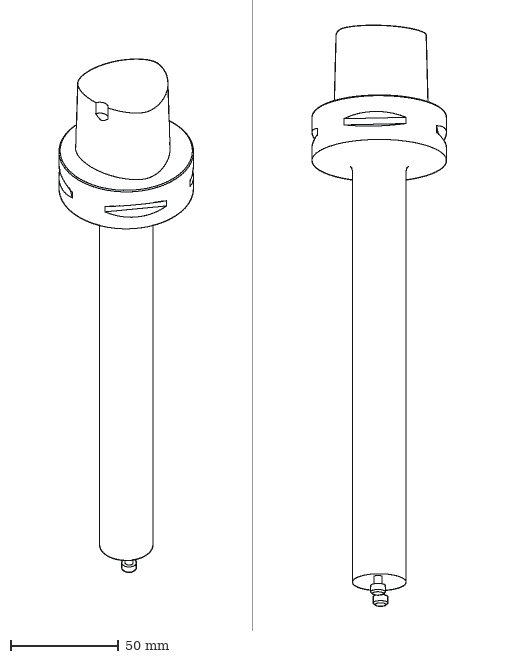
import cadquery as cq
import math

TOTAL_HEIGHT = 276.0
SHANK_HEIGHT = 38.0
FLANGE_HEIGHT = 22.0
FLANGE_TOP = TOTAL_HEIGHT - SHANK_HEIGHT
FLANGE_BOTTOM = FLANGE_TOP - FLANGE_HEIGHT

FLANGE_DIAMETER = 63.0
FLANGE_CHAMFER = 0.5
BAR_DIAMETER = 25.0
BAR_FILLET = 5.5

SHANK_BASE_RADIUS = 22.0
LOBE_OFFSET = 1.7
LOBE_SPACING = 120
TAPER_PER_SIDE = 1 / 40
FLANK_HALF_ANGLE = 21.5
POINTS_PER_CURVE = 7

KEYWAY_DIAMETER = 7.7
KEYWAY_AXIS_Y = -21.0
KEYWAY_STRAIGHT_DEPTH = 6.3
KEYWAY_TIP_HEIGHT = 3.3

GROOVE_COUNT = 4
GROOVE_FIRST_ANGLE = 45.0
GROOVE_FLOOR_DISTANCE = 28.0
GROOVE_FLOOR_HEIGHT = 3.0
GROOVE_WALL_ANGLE = 30.0
GROOVE_CENTER_Z = 226.0

SCREW_HEAD_DIAMETER = 7.0
SCREW_HEAD_HEIGHT = 4.0
SCREW_HEAD_CHAMFER = 0.8
SCREW_NECK_DIAMETER = 4.0
SCREW_NECK_LENGTH = 4.5
SCREW_CIRCLE_RADIUS = 8.3
SCREW_ANGLES = (135.0, -45.0)
BAR_BOTTOM = SCREW_HEAD_HEIGHT + SCREW_NECK_LENGTH


def make_bar_and_flange():
    """Revolved body: bar, concave fillet and chamfered flange."""
    bar_radius = BAR_DIAMETER / 2
    flange_radius = FLANGE_DIAMETER / 2
    fillet_center = (bar_radius + BAR_FILLET, FLANGE_BOTTOM - BAR_FILLET)
    fillet_reach = BAR_FILLET * math.sqrt(0.5)
    fillet_middle = (fillet_center[0] - fillet_reach, fillet_center[1] + fillet_reach)
    return (
        cq.Workplane("XZ")
        .moveTo(0, BAR_BOTTOM)
        .lineTo(bar_radius, BAR_BOTTOM)
        .lineTo(bar_radius, FLANGE_BOTTOM - BAR_FILLET)
        .threePointArc(fillet_middle, (bar_radius + BAR_FILLET, FLANGE_BOTTOM))
        .lineTo(flange_radius, FLANGE_BOTTOM)
        .lineTo(flange_radius, FLANGE_TOP - FLANGE_CHAMFER)
        .lineTo(flange_radius - FLANGE_CHAMFER, FLANGE_TOP)
        .lineTo(0, FLANGE_TOP)
        .close()
        .revolve(360, (0, 0), (0, 1))
    )


def lobe_point(mean_radius, angle, z):
    """Point of the three-lobed outline whose normal points along angle (0 = -Y flank)."""
    g = math.radians(angle)
    out = mean_radius * math.cos(g) - LOBE_OFFSET * (2 * math.cos(2 * g) - math.cos(4 * g))
    side = mean_radius * math.sin(g) + LOBE_OFFSET * (2 * math.sin(2 * g) + math.sin(4 * g))
    return cq.Vector(side, -out, z)


def lobe_curve(mean_radius, start_angle, end_angle, z):
    """Stretch of the three-lobed outline between two normal angles."""
    step = (end_angle - start_angle) / (POINTS_PER_CURVE - 1)
    points = [lobe_point(mean_radius, start_angle + i * step, z) for i in range(POINTS_PER_CURVE)]
    tangents = [
        cq.Vector(math.cos(math.radians(angle)), math.sin(math.radians(angle)), 0)
        for angle in (start_angle, end_angle)
    ]
    return cq.Edge.makeSpline(points, tangents=tangents)


def lobe_wire(mean_radius, z):
    """Closed outline of three shallow flanks alternating with three lobes."""
    edges = []
    for middle in range(0, 360, LOBE_SPACING):
        flank_start = middle - FLANK_HALF_ANGLE
        flank_end = middle + FLANK_HALF_ANGLE
        edges.append(lobe_curve(mean_radius, flank_start, flank_end, z))
        edges.append(lobe_curve(mean_radius, flank_end, flank_start + LOBE_SPACING, z))
    return cq.Wire.assembleEdges(edges)


def make_shank():
    """Tapered shank between two parallel three-lobed outlines."""
    top_radius = SHANK_BASE_RADIUS - SHANK_HEIGHT * TAPER_PER_SIDE
    base = lobe_wire(SHANK_BASE_RADIUS, FLANGE_TOP)
    top = lobe_wire(top_radius, TOTAL_HEIGHT)
    return cq.Workplane(cq.Solid.makeLoft([base, top], True))


def make_keyway():
    """Drill-shaped cutter with a conical tip, parallel to the tool axis."""
    radius = KEYWAY_DIAMETER / 2
    cone_top = TOTAL_HEIGHT - KEYWAY_STRAIGHT_DEPTH
    return (
        cq.Workplane("XZ")
        .polyline([
            (0, cone_top - KEYWAY_TIP_HEIGHT),
            (radius, cone_top),
            (radius, TOTAL_HEIGHT),
            (0, TOTAL_HEIGHT),
        ])
        .close()
        .revolve(360, (0, 0), (0, 1))
        .translate((0, KEYWAY_AXIS_Y, 0))
    )


def make_groove(angle):
    """Straight groove with a flat floor and flaring walls, cut across the rim."""
    depth = FLANGE_DIAMETER / 2 - GROOVE_FLOOR_DISTANCE
    floor_half = GROOVE_FLOOR_HEIGHT / 2
    rim_half = floor_half + depth * math.tan(math.radians(GROOVE_WALL_ANGLE))
    rim = GROOVE_FLOOR_DISTANCE + depth
    return (
        cq.Workplane("XZ")
        .polyline([
            (GROOVE_FLOOR_DISTANCE, GROOVE_CENTER_Z - floor_half),
            (rim, GROOVE_CENTER_Z - rim_half),
            (rim, GROOVE_CENTER_Z + rim_half),
            (GROOVE_FLOOR_DISTANCE, GROOVE_CENTER_Z + floor_half),
        ])
        .close()
        .extrude(FLANGE_DIAMETER / 2, both=True)
        .rotate((0, 0, 0), (0, 0, 1), angle)
    )


def make_screw(angle):
    """Chamfered screw head and the neck that joins it to the bar."""
    head = (
        cq.Workplane("XY")
        .circle(SCREW_HEAD_DIAMETER / 2)
        .extrude(SCREW_HEAD_HEIGHT)
        .faces("<Z")
        .chamfer(SCREW_HEAD_CHAMFER)
    )
    neck = (
        cq.Workplane("XY", origin=(0, 0, SCREW_HEAD_HEIGHT))
        .circle(SCREW_NECK_DIAMETER / 2)
        .extrude(SCREW_NECK_LENGTH)
    )
    screw = head.union(neck).translate((SCREW_CIRCLE_RADIUS, 0, 0))
    return screw.rotate((0, 0, 0), (0, 0, 1), angle)


result = make_bar_and_flange().union(make_shank()).cut(make_keyway())

for index in range(GROOVE_COUNT):
    result = result.cut(make_groove(GROOVE_FIRST_ANGLE + index * 360 / GROOVE_COUNT))

for screw_angle in SCREW_ANGLES:
    result = result.union(make_screw(screw_angle))